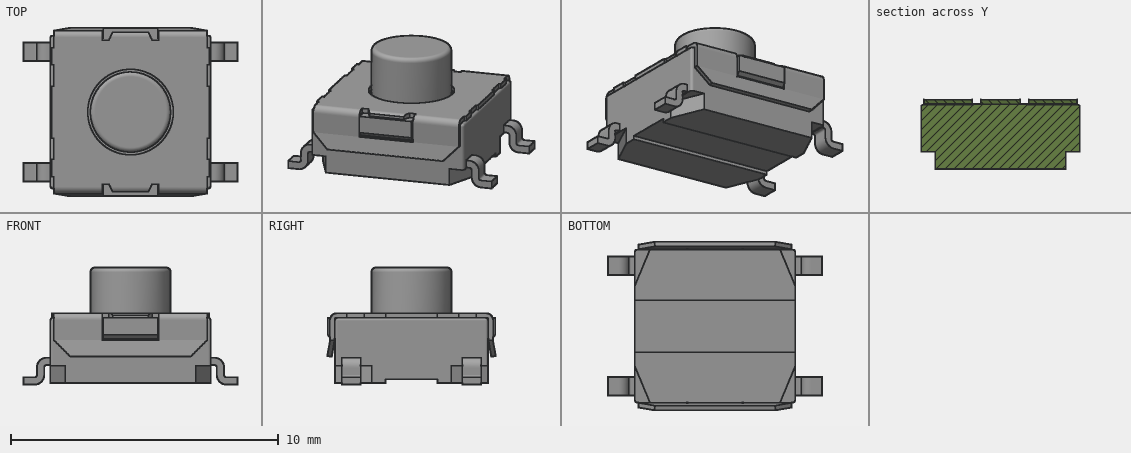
import cadquery as cq
import math

base_length = 6.0
base_width = 5.72
base_bottom = 0.06
base_top = 2.495
base_edge_radius = 0.1

corner_cut_x = 0.57
corner_cut_y = 1.37
corner_cut_top = 0.70

groove_width = 1.94
groove_depth = 0.14

button_diameter = 3.0
button_top = 4.38
button_edge_radius = 0.17

lead_reach = 4.0
lead_outer_face = 3.5
lead_thickness = 0.28
lead_inner_radius = 0.085
lead_outer_radius = lead_inner_radius + lead_thickness
lead_top = 1.01
lead_width = 0.7
lead_pitch = 4.5
lead_embed = 0.2

cover_thickness = 0.175
cover_top = base_top + cover_thickness
cover_length = 5.72
cover_tab_reach = 0.075
cover_fold_radius = 0.25
button_clearance_diameter = 3.2

skirt_top = 1.66
skirt_slope = 0.6
skirt_angle = math.radians(10)
overall_width = 6.3
cover_half_width = overall_width / 2 - skirt_slope * math.sin(skirt_angle)

middle_tab_width = 1.94
outer_tab_start = 1.765
outer_tab_end = 2.41

window_width = 2.11
window_depth_y = 2.69
tongue_end_y = 2.975
tongue_root_width = 1.62
tongue_tip_width = 1.34

hook_width = 2.05
hook_embed = 0.3
hook_face_y = 3.135
hook_bottom = 1.72
hook_lead_in_height = 0.14
hook_lead_in_depth = 0.14


def make_lead():
    """Gull-wing lead at the +X side, in the XZ plane, centred on Y = 0."""
    root = base_length / 2 - lead_embed
    inner_face = lead_outer_face - lead_thickness
    underside = lead_top - lead_thickness
    profile = (
        cq.Workplane("XZ")
        .moveTo(root, lead_top)
        .lineTo(lead_outer_face - lead_outer_radius, lead_top)
        .radiusArc((lead_outer_face, lead_top - lead_outer_radius), lead_outer_radius)
        .lineTo(lead_outer_face, lead_thickness + lead_inner_radius)
        .radiusArc((lead_outer_face + lead_inner_radius, lead_thickness), -lead_inner_radius)
        .lineTo(lead_reach, lead_thickness)
        .lineTo(lead_reach, 0)
        .lineTo(inner_face + lead_outer_radius, 0)
        .radiusArc((inner_face, lead_outer_radius), lead_outer_radius)
        .lineTo(inner_face, underside - lead_inner_radius)
        .radiusArc((inner_face - lead_inner_radius, underside), -lead_inner_radius)
        .lineTo(root, underside)
        .close()
    )
    return profile.extrude(lead_width / 2, both=True)


def make_hook():
    """Snap hook at the +Y side, rooted inside the base."""
    root_y = base_width / 2 - hook_embed
    return (
        cq.Workplane("YZ")
        .moveTo(root_y, base_top)
        .lineTo(hook_face_y, base_top)
        .lineTo(hook_face_y, hook_bottom + hook_lead_in_height)
        .lineTo(hook_face_y - hook_lead_in_depth, hook_bottom)
        .lineTo(root_y, hook_bottom)
        .close()
        .extrude(hook_width / 2, both=True)
    )


def make_corner_cut(side_x, side_y):
    """Triangular prism that cuts one lower corner off the base."""
    corner_x = side_x * base_length / 2
    corner_y = side_y * base_width / 2
    return (
        cq.Workplane("XY")
        .workplane(offset=base_bottom)
        .moveTo(corner_x, corner_y)
        .lineTo(corner_x - side_x * corner_cut_x, corner_y)
        .lineTo(corner_x, corner_y - side_y * corner_cut_y)
        .close()
        .extrude(corner_cut_top - base_bottom)
    )


def make_switch_body():
    """Base block with its leads, snap hooks and push button."""
    body = (
        cq.Workplane("XY")
        .workplane(offset=base_bottom)
        .rect(base_length, base_width)
        .extrude(base_top - base_bottom)
        .edges("|Z or >Z")
        .fillet(base_edge_radius)
    )
    groove = (
        cq.Workplane("XY")
        .workplane(offset=base_bottom)
        .rect(base_length, groove_width)
        .extrude(groove_depth)
    )
    body = body.cut(groove)

    lead = make_lead()
    for side_y in (-1, 1):
        for side_x in (-1, 1):
            body = body.cut(make_corner_cut(side_x, side_y))
        placed_lead = lead.translate((0, side_y * lead_pitch / 2, 0))
        body = body.union(placed_lead).union(placed_lead.mirror("YZ"))

    hook = make_hook()
    body = body.union(hook).union(hook.mirror("XZ"))

    button = (
        cq.Workplane("XY")
        .workplane(offset=base_top)
        .circle(button_diameter / 2)
        .extrude(button_top - base_top)
        .faces(">Z")
        .edges()
        .fillet(button_edge_radius)
    )
    return body.union(button)


def make_folded_side():
    """Half of the folded sheet, from the centre plane to the +Y side, with its skirt."""
    inner_y = cover_half_width - cover_thickness
    fold_y = cover_half_width - cover_fold_radius
    fold_z = cover_top - cover_fold_radius
    inner_fold_radius = cover_fold_radius - cover_thickness
    outer_tip_y = overall_width / 2
    outer_tip_z = skirt_top - skirt_slope * math.cos(skirt_angle)
    inner_tip_y = outer_tip_y - cover_thickness * math.cos(skirt_angle)
    inner_tip_z = outer_tip_z - cover_thickness * math.sin(skirt_angle)
    sheet = (
        cq.Workplane("YZ")
        .moveTo(0, cover_top)
        .lineTo(fold_y, cover_top)
        .radiusArc((cover_half_width, fold_z), cover_fold_radius)
        .lineTo(cover_half_width, skirt_top)
        .lineTo(outer_tip_y, outer_tip_z)
        .lineTo(inner_tip_y, inner_tip_z)
        .lineTo(inner_y, skirt_top)
        .lineTo(inner_y, fold_z)
        .radiusArc((fold_y, base_top), -inner_fold_radius)
        .lineTo(0, base_top)
        .close()
        .extrude(cover_length / 2, both=True)
    )

    narrowing = skirt_top - inner_tip_z
    trims = (
        cq.Workplane("XZ")
        .polyline([
            (cover_length / 2, skirt_top),
            (cover_length / 2, inner_tip_z),
            (cover_length / 2 - narrowing, inner_tip_z),
        ])
        .close()
        .extrude(-overall_width)
    )
    return sheet.cut(trims).cut(trims.mirror("YZ"))


def make_window():
    """Cutter for the window at the +Y side, leaving the tongue at its top."""
    window = (
        cq.Workplane("XY")
        .workplane(offset=skirt_top)
        .center(0, (window_depth_y + overall_width / 2) / 2)
        .rect(window_width, overall_width / 2 - window_depth_y)
        .extrude(cover_top - skirt_top)
    )
    tongue = (
        cq.Workplane("XY")
        .workplane(offset=base_top)
        .polyline([
            (-tongue_root_width / 2, window_depth_y),
            (-tongue_tip_width / 2, tongue_end_y),
            (tongue_tip_width / 2, tongue_end_y),
            (tongue_root_width / 2, window_depth_y),
        ])
        .close()
        .extrude(cover_thickness)
    )
    return window.cut(tongue)


def make_tab_strip(start_y, end_y):
    """Strip of flat sheet across the cover whose ends are a pair of side tabs."""
    return (
        cq.Workplane("XY")
        .workplane(offset=base_top)
        .center(0, (start_y + end_y) / 2)
        .rect(cover_length + 2 * cover_tab_reach, end_y - start_y)
        .extrude(cover_thickness)
    )


def make_cover():
    """Folded sheet cover with windows, side tabs and the button opening."""
    side = make_folded_side().cut(make_window())
    cover = side.union(side.mirror("XZ"))
    tab_spans = [
        (-outer_tab_end, -outer_tab_start),
        (-middle_tab_width / 2, middle_tab_width / 2),
        (outer_tab_start, outer_tab_end),
    ]
    for start_y, end_y in tab_spans:
        cover = cover.union(make_tab_strip(start_y, end_y))
    opening = (
        cq.Workplane("XY")
        .workplane(offset=base_top)
        .circle(button_clearance_diameter / 2)
        .extrude(cover_thickness)
    )
    return cover.cut(opening)


switch_body = make_switch_body()
cover = make_cover()

result = cq.Compound.makeCompound([switch_body.val(), cover.val()])